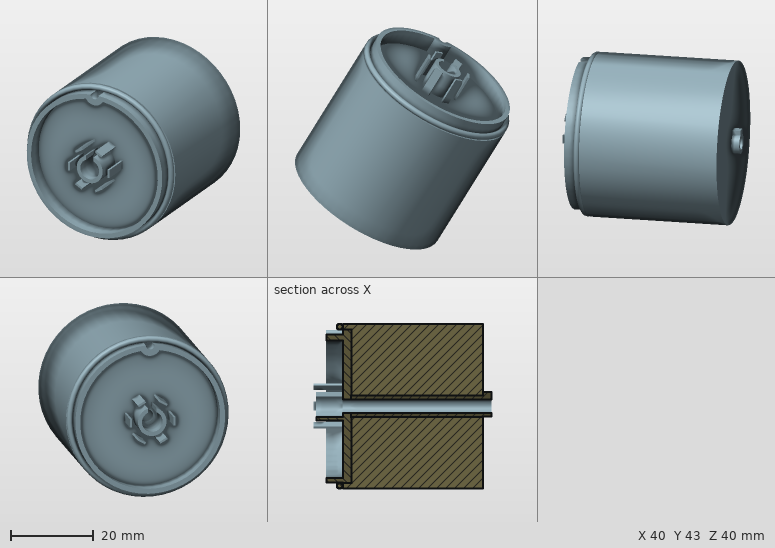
import cadquery as cq


can_radius = 20.0
can_length = 34.05

cap_radius = 18.5
cap_bore_radius = 17.3
rim_height = 4.0
cap_floor_thickness = 2.0
notch_radius = 1.08
notch_wall_radius = 2.65

collar_radius = 3.53
collar_height = 6.5
slot_width = 2.1

shaft_radius = 2.55
shaft_bore_radius = 1.55
shaft_overhang = 2.0
key_width = slot_width
key_top = 3.5

ring_section_radius = (can_radius - cap_radius) / 2

blade_count = 6
blade_circle_radius = 5.38
blade_thickness = 0.5
blade_width = 2.1
blade_length = 7.0


def cylinder(radius, y_start, y_end, z_center=0):
    """Solid cylinder along Y between two Y positions."""
    return (
        cq.Workplane("XZ", origin=(0, y_start, z_center))
        .circle(radius)
        .extrude(y_start - y_end)
    )


def box(x_size, y_start, y_end, z_start, z_end):
    """Box centered on X = 0 between given Y and Z positions."""
    return cq.Workplane("XY").box(
        x_size, y_end - y_start, z_end - z_start, centered=(True, False, False)
    ).translate((0, y_start, z_start))


def make_can():
    body = cylinder(can_radius, 0, can_length)
    cap_seat = cylinder(cap_radius, 0, cap_floor_thickness)
    shaft_hole = cylinder(shaft_radius, 0, can_length)
    return body.cut(cap_seat).cut(shaft_hole)


def make_cap():
    cup = cylinder(cap_radius, -rim_height, cap_floor_thickness)
    cup = cup.cut(cylinder(cap_bore_radius, -rim_height, 0))

    notch_wall = cylinder(notch_wall_radius, -rim_height, 0, cap_radius)
    notch_wall = notch_wall.intersect(cylinder(cap_radius, -rim_height, 0))
    notch = cylinder(notch_radius, -rim_height, 0, cap_radius)
    cup = cup.union(notch_wall).cut(notch)

    collar = cylinder(collar_radius, -collar_height, 0)
    collar = collar.cut(box(slot_width, -collar_height, 0, 0, collar_radius))
    collar = collar.cut(cylinder(shaft_radius, -collar_height, 0))

    floor_hole = cylinder(shaft_bore_radius, 0, cap_floor_thickness)
    return cup.cut(floor_hole).union(collar)


def make_shaft():
    """Hollow shaft from the back of the cap floor, out through the rear of the can."""
    rear_end = can_length + shaft_overhang
    key = box(key_width, can_length, rear_end, 0, key_top)
    bore = cylinder(shaft_bore_radius, cap_floor_thickness, rear_end)
    return cylinder(shaft_radius, cap_floor_thickness, rear_end).union(key).cut(bore)


def make_sealing_ring():
    ring_center_radius = cap_radius + ring_section_radius
    return (
        cq.Workplane("YZ")
        .center(-ring_section_radius, ring_center_radius)
        .circle(ring_section_radius)
        .revolve(360, (0, -ring_center_radius), (1, -ring_center_radius))
    )


def make_blade(angle):
    """Contact blade tangent to the blade circle, turned about the Y axis."""
    z_start = blade_circle_radius - blade_thickness / 2
    blade = box(blade_width, -blade_length, 0, z_start, z_start + blade_thickness)
    return blade.rotate((0, 0, 0), (0, 1, 0), angle)


can = make_can()
cap = make_cap()
shaft = make_shaft()
sealing_ring = make_sealing_ring()

first_blade_angle = 90
blade_pitch = 360 / blade_count
blades = [make_blade(first_blade_angle + i * blade_pitch) for i in range(blade_count)]

result = cq.Compound.makeCompound([
    can.val(),
    cap.val(),
    shaft.val(),
    sealing_ring.val(),
    *[blade.val() for blade in blades],
])